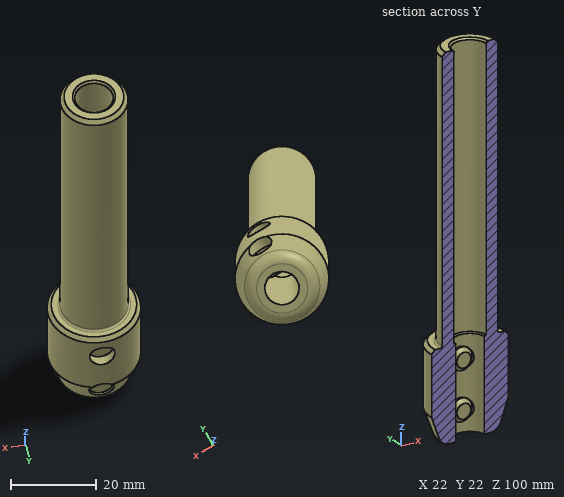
import cadquery as cq
import math

total_length = 100.0
head_diameter = 22.0
head_height = 25.0
shank_diameter = 16.0
shank_bore_diameter = 9.0
head_bore_diameter = 8.0

edge_chamfer = 1.0
bore_mouth_diameter = 10.0
shank_root_fillet = 0.5

bore_step_angle = 60.0

nose_height = 8.0
nose_half_angle = 20.0
nose_fillet = 3.0

screw_diameter = 6.0
screw_length = 6.0
screw_tip_diameter = 4.0
screw_tip_y = 2.5
screw_heights = (6.0, 19.0)

head_radius = head_diameter / 2
shank_radius = shank_diameter / 2
shank_bore_radius = shank_bore_diameter / 2
head_bore_radius = head_bore_diameter / 2
bore_mouth_radius = bore_mouth_diameter / 2
bore_mouth_depth = bore_mouth_radius - shank_bore_radius
bore_step_height = (shank_bore_radius - head_bore_radius) / math.tan(math.radians(bore_step_angle))
screw_hole_length = head_diameter
nose_bottom_radius = head_radius - nose_height * math.tan(math.radians(nose_half_angle))
screw_tip_chamfer = (screw_diameter - screw_tip_diameter) / 2


def make_turned_body():
    """Solid of revolution: tapered nose, cylindrical head and slim shank."""
    body = (
        cq.Workplane("XZ")
        .lineTo(nose_bottom_radius, 0)
        .lineTo(head_radius, nose_height)
        .lineTo(head_radius, head_height - edge_chamfer)
        .lineTo(head_radius - edge_chamfer, head_height)
        .lineTo(shank_radius + shank_root_fillet, head_height)
        .radiusArc((shank_radius, head_height + shank_root_fillet), shank_root_fillet)
        .lineTo(shank_radius, total_length - edge_chamfer)
        .lineTo(shank_radius - edge_chamfer, total_length)
        .lineTo(0, total_length)
        .close()
        .revolve(360, (0, 0, 0), (0, 1, 0))
    )
    return body.faces("<Z").edges().fillet(nose_fillet)


def make_bore():
    """Stepped through bore: narrow in the head, wider in the shank, countersunk at the top."""
    return (
        cq.Workplane("XZ")
        .lineTo(head_bore_radius, 0)
        .lineTo(head_bore_radius, head_height)
        .lineTo(shank_bore_radius, head_height + bore_step_height)
        .lineTo(shank_bore_radius, total_length - bore_mouth_depth)
        .lineTo(bore_mouth_radius, total_length)
        .lineTo(0, total_length)
        .close()
        .revolve(360, (0, 0, 0), (0, 1, 0))
    )


def rod_toward_back(start_y, height, length):
    """Screw-sized cylinder starting at start_y and running toward +Y."""
    return (
        cq.Workplane("XZ", origin=(0, start_y, height))
        .circle(screw_diameter / 2)
        .extrude(-length)
    )


def make_set_screw(height):
    """Set screw whose chamfered flat tip reaches into the bore."""
    screw = rod_toward_back(screw_tip_y, height, screw_length)
    return screw.faces("<Y").chamfer(screw_tip_chamfer)


pin = make_turned_body().cut(make_bore())
for screw_height in screw_heights:
    pin = pin.cut(rod_toward_back(0, screw_height, screw_hole_length))

set_screws = [make_set_screw(screw_height) for screw_height in screw_heights]

result = cq.Compound.makeCompound([pin.val(), *[screw.val() for screw in set_screws]])